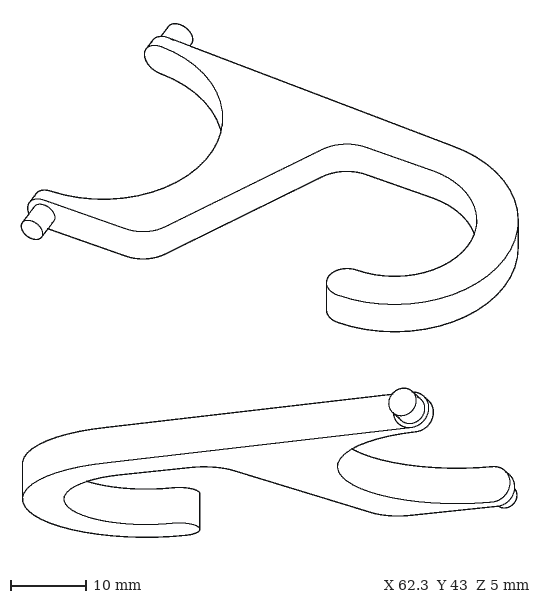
import cadquery as cq

thickness = 5.0
end_radius = thickness / 2
fork_half_width = 17.95
fork_inner_half_width = 15.95
fork_depth = 15.5

hook_center_x = 43.3
hook_outer_radius = 16.5
hook_inner_radius = 10.95
hook_mid_radius = (hook_outer_radius + hook_inner_radius) / 2
tip_radius = (hook_outer_radius - hook_inner_radius) / 2

lower_corner_x = 15.3
lower_corner_radius = 5.0
upper_corner_x = 29.9
upper_corner_radius = 5.6

pin_length = 3.55
upper_pin_diameter = 3.85
lower_pin_diameter = 3.25


def make_plate():
    """Fork and hook outline, extruded symmetrically about Z = 0."""
    hook_end_x = hook_center_x + hook_outer_radius
    opening_end_x = hook_center_x + hook_inner_radius
    outline = (
        cq.Workplane("XY")
        .workplane(offset=-thickness / 2)
        .moveTo(0, fork_half_width)
        .lineTo(hook_center_x, hook_outer_radius)
        .threePointArc((hook_end_x, 0), (hook_center_x, -hook_outer_radius))
        .threePointArc(
            (hook_center_x - tip_radius, -hook_mid_radius),
            (hook_center_x, -hook_inner_radius),
        )
        .threePointArc((opening_end_x, 0), (hook_center_x, hook_inner_radius))
        .lineTo(upper_corner_x, hook_inner_radius)
        .lineTo(lower_corner_x, -fork_half_width)
        .lineTo(0, -fork_half_width)
        .lineTo(0, -fork_inner_half_width)
        .threePointArc((fork_depth, 0), (0, fork_inner_half_width))
        .close()
    )
    plate = outline.extrude(thickness)
    plate = round_corner(plate, upper_corner_x, hook_inner_radius, upper_corner_radius)
    return round_corner(plate, lower_corner_x, -fork_half_width, lower_corner_radius)


def round_corner(plate, x, y, radius):
    """Fillet the upright edge of the plate nearest to (x, y)."""
    return plate.edges("|Z").edges(cq.NearestToPointSelector((x, y, 0))).fillet(radius)


def y_cylinder(y_start, length, radius):
    """Cylinder along +Y from y_start, on the axis of the fork ends."""
    base_center = cq.Vector(0, y_start, 0)
    direction = cq.Vector(0, 1, 0)
    return cq.Workplane(cq.Solid.makeCylinder(radius, length, base_center, direction))


def make_hook():
    """Plate with a rounded end on each fork arm."""
    end_width = fork_half_width - fork_inner_half_width
    body = make_plate()
    for y_start in (fork_inner_half_width, -fork_half_width):
        body = body.union(y_cylinder(y_start, end_width, end_radius))
    return body


def make_upper_pin():
    """Larger pin, standing on the +Y face of the fork."""
    return y_cylinder(fork_half_width, pin_length, upper_pin_diameter / 2)


def make_lower_pin():
    """Smaller pin, standing on the -Y face of the fork."""
    y_start = -fork_half_width - pin_length
    return y_cylinder(y_start, pin_length, lower_pin_diameter / 2)


hook = make_hook()
upper_pin = make_upper_pin()
lower_pin = make_lower_pin()

result = cq.Compound.makeCompound([hook.val(), upper_pin.val(), lower_pin.val()])